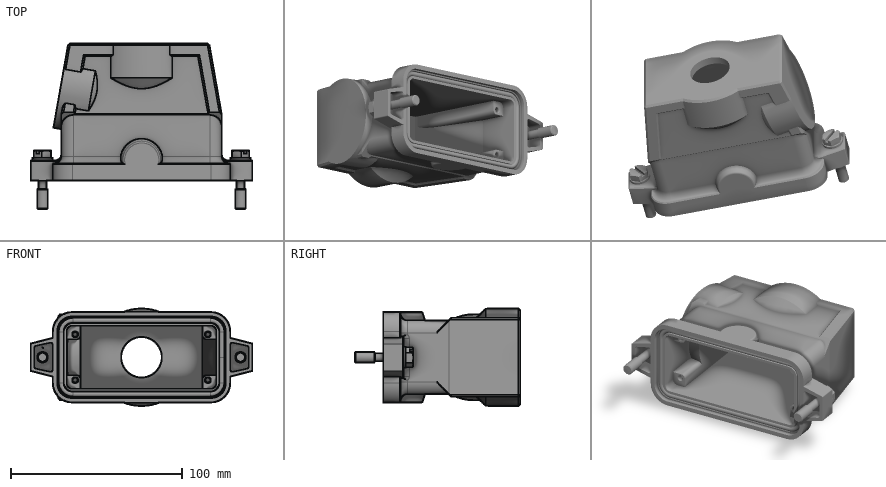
import cadquery as cq
import math


hood_depth = 80.0
face_tilt = 10.0
edge_chamfer = 1.2

flange_half_x = 51.8
flange_half_z = 26.4
flange_corner = 11.4
flange_thickness = 10.2
flange_edge_chamfer = 0.6
flange_fillet = 3.9

neck_half_x = 46.9
neck_half_z = 21.5
neck_corner = 7.1
neck_end = 38.3

rim_half_z = 23.2
panel_half_z = 22.1
panel_half_x = 32.9
panel_back = 72.5
flare_end_z = 14.8
pad_thickness = 3.2

back_boss_radius = 28.5
back_boss_length = 20.1
back_hole_radius = 11.8

side_boss_radius = 25.1
side_boss_length = 18.4
side_boss_y = 55.5
side_boss_inner_x = -35.6

lug_y = 12.2
lug_base_radius = 12.3
lug_top_radius = 10.7
lug_edge_fillet = 1.0

cavity_half_x = 43.6
cavity_half_z = 18.4
cavity_corner = 3.2
cavity_floor = 75.4
cavity_floor_half_x = 35.4

recess_wall = 2.6
recess_depth = 2.7
groove_floor = 3.9
groove_half_width = 1.5
seal_radius = 1.4
seal_half_x = 46.9
seal_half_z = 21.5
seal_corner = 6.7

post_inner_x = 35.6
post_inner_z = 10.5
post_corner = 2.3
post_front = 11.7
post_hole_x = 38.7
post_hole_z = 13.3
post_hole_radius = 1.4
post_hole_depth = 10.4
post_hole_chamfer = 0.4

ear_tip_x = 64.8
ear_tip_half_z = 8.0
ear_root_half_z = 12.5
ear_front = 0.0
ear_back = 11.9
ear_edge_chamfer = 0.5
ear_tip_fillet = 0.6
ear_fillet = 3.2
ear_fillet_half_z = 11.0
ear_floor = 3.1
pocket_root_x = flange_half_x
pocket_tip_x = 62.5
pocket_root_half_z = 8.8
pocket_tip_half_z = 6.5
pocket_corner = 1.3

screw_x = 57.8
shank_radius = 2.5
thread_radius = 3.1
thread_start = -4.7
screw_tip = -16.6
screw_chamfer = 0.5
washer_radius = 6.1
washer_thickness = 1.4
head_radius = 5.8
head_height = 4.3
head_chamfer = 0.5
crown_radius = 4.9
head_turn = 34.0
slot_width = 2.0
slot_depth = 2.0

tilt = math.tan(math.radians(face_tilt))


def section_at(y):
    """Workplane facing +X right, +Z up at the given depth."""
    return cq.Workplane("XZ", origin=(0, y, 0))


def rounded_block(half_x, half_z, corner, y_start, y_end):
    block = section_at(y_start).rect(2 * half_x, 2 * half_z).extrude(y_start - y_end)
    return block.edges("|Y").fillet(corner)


def slab(points, half_z):
    """Outline in the XY plane, extruded evenly about Z = 0."""
    return cq.Workplane("XY").polyline(points).close().extrude(half_z, both=True)


def both_sides(solid, plane):
    """The solid together with its mirror image in a plane through the origin."""
    return solid.union(solid.mirror(plane))


def make_flange_and_neck():
    flange = rounded_block(flange_half_x, flange_half_z, flange_corner, 0, flange_thickness)
    flange = flange.faces(">Y").edges().chamfer(flange_edge_chamfer)
    neck = rounded_block(neck_half_x, neck_half_z, neck_corner, 0, neck_end)
    margin = 0.1
    root = cq.selectors.BoxSelector(
        (-neck_half_x - margin, flange_thickness - margin, -neck_half_z - margin),
        (neck_half_x + margin, flange_thickness + margin, neck_half_z + margin),
        boundingbox=True,
    )
    return flange.union(neck).edges(root).fillet(flange_fillet)


def end_face_x(y):
    """Distance of the plain housing end face from the YZ plane."""
    return neck_half_x - max(0, y - neck_end) * tilt


def make_housing():
    flare_start = neck_end - neck_half_z + flare_end_z
    back_x = end_face_x(hood_depth)
    pad_y = side_boss_y
    outline = [
        (neck_half_x, 0),
        (neck_half_x, neck_end),
        (back_x, hood_depth),
        (-back_x - pad_thickness, hood_depth),
        (-end_face_x(pad_y) - pad_thickness, pad_y),
        (-end_face_x(pad_y), pad_y),
        (-neck_half_x, neck_end),
        (-neck_half_x, 0),
    ]
    block = slab(outline, rim_half_z)
    block = block.faces(">Y or >Z or <Z").edges().chamfer(edge_chamfer)

    flare_rise = rim_half_z - flare_end_z
    flare = (
        cq.Workplane("YZ")
        .polyline([
            (flare_start, -flare_end_z),
            (flare_start + flare_rise, -rim_half_z),
            (hood_depth, -rim_half_z),
            (hood_depth, rim_half_z),
            (flare_start + flare_rise, rim_half_z),
            (flare_start, flare_end_z),
        ])
        .close()
        .extrude(ear_tip_x, both=True)
    )
    block = block.intersect(flare)

    panel_front_x = panel_half_x + panel_back * tilt
    panel = (
        cq.Workplane("XY", origin=(0, 0, panel_half_z))
        .polyline([
            (-panel_half_x, panel_back),
            (panel_half_x, panel_back),
            (panel_front_x, 0),
            (-panel_front_x, 0),
        ])
        .close()
        .extrude(rim_half_z - panel_half_z, taper=-45)
    )
    return block.cut(both_sides(panel, "XY"))


def make_back_boss():
    """Cylinder along Y whose front end tapers at 45 degrees into the panels."""
    cone_start = hood_depth - back_boss_length
    return (
        cq.Workplane("XY")
        .polyline([
            (0, hood_depth),
            (back_boss_radius - edge_chamfer, hood_depth),
            (back_boss_radius, hood_depth - edge_chamfer),
            (back_boss_radius, cone_start),
            (0, cone_start - back_boss_radius),
        ])
        .close()
        .revolve(360, (0, 0), (0, 1))
    )


def make_side_boss():
    """Cylinder square to the -X end face, ending in a 45 degree cone."""
    cone_height = side_boss_radius - neck_half_z
    face_x = -end_face_x(side_boss_y) - pad_thickness
    angle = math.radians(face_tilt)
    plane = cq.Plane(
        origin=(face_x, side_boss_y, 0),
        xDir=(0, 0, 1),
        normal=(math.cos(angle), -math.sin(angle), 0),
    )
    boss = cq.Workplane(plane).circle(side_boss_radius).extrude(side_boss_length)
    boss = boss.faces(">X").workplane().circle(side_boss_radius).extrude(cone_height, taper=45)
    beyond_back = section_at(hood_depth - edge_chamfer).rect(2 * ear_tip_x, 2 * side_boss_radius)
    return boss.cut(beyond_back.extrude(-hood_depth))


def make_lugs():
    height = flange_half_z - neck_half_z
    draft = math.degrees(math.atan((lug_base_radius - lug_top_radius) / height))
    lug = (
        cq.Workplane("XY", origin=(0, lug_y, neck_half_z))
        .circle(lug_base_radius)
        .extrude(height, taper=draft)
        .faces(">Z").edges().fillet(lug_edge_fillet)
    )
    near_face = cq.Workplane("XY").box(2 * flange_half_x, flange_thickness, 2 * flange_half_z)
    lug = lug.cut(near_face)
    return both_sides(lug, "XY")


def make_posts():
    width = cavity_half_x - post_inner_x
    height = cavity_half_z - post_inner_z
    post = (
        section_at(post_front)
        .rect(width, height)
        .extrude(post_front - cavity_floor)
        .translate((post_inner_x + width / 2, 0, post_inner_z + height / 2))
        .edges("|Y and <X and <Z").fillet(post_corner)
    )
    hole = section_at(post_front).center(post_hole_x, post_hole_z)
    bore = hole.circle(post_hole_radius).extrude(-post_hole_depth)
    mouth = (
        hole.circle(post_hole_radius + post_hole_chamfer)
        .extrude(-post_hole_chamfer, taper=45)
    )
    post = post.cut(bore).cut(mouth)
    return both_sides(both_sides(post, "XY"), "YZ")


def make_cavity():
    """Hollow of the hood, leaving the corner posts and the blank side entry solid."""
    slope_start = cavity_floor - (cavity_half_x - cavity_floor_half_x) / tilt
    room = slab([
        (-cavity_half_x, 0),
        (cavity_half_x, 0),
        (cavity_half_x, slope_start),
        (cavity_floor_half_x, cavity_floor),
        (-cavity_floor_half_x, cavity_floor),
        (-cavity_half_x, slope_start),
    ], cavity_half_z)
    bounds = rounded_block(cavity_half_x, cavity_half_z, cavity_corner, 0, cavity_floor)
    plug_limit = cq.Workplane("XY").box(ear_tip_x, 2 * hood_depth, 2 * rim_half_z)
    plug_limit = plug_limit.translate((side_boss_inner_x - ear_tip_x / 2, 0, 0))
    plug = make_side_boss().intersect(plug_limit)
    return room.intersect(bounds).cut(plug).cut(make_posts())


def make_recess():
    recess = rounded_block(
        flange_half_x - recess_wall,
        flange_half_z - recess_wall,
        flange_corner - recess_wall,
        0,
        recess_depth,
    )
    groove_outside, groove_inside = [
        rounded_block(seal_half_x + offset, seal_half_z + offset, seal_corner + offset, 0, groove_floor)
        for offset in (groove_half_width, -groove_half_width)
    ]
    return recess.union(groove_outside.cut(groove_inside))


def make_seal():
    """Round bead lying around the floor of the recess."""
    bar_x = seal_half_x - seal_corner
    bar_z = seal_half_z - seal_corner
    bend = (
        cq.Workplane("XY", origin=(seal_half_x, groove_floor, bar_z))
        .circle(seal_radius)
        .revolve(90, (-seal_corner, 0, 0), (-seal_corner, -1, 0))
    )
    bends = both_sides(both_sides(bend, "XY"), "YZ")
    long_bar = (
        cq.Workplane("YZ", origin=(0, groove_floor, seal_half_z))
        .circle(seal_radius)
        .extrude(bar_x, both=True)
    )
    short_bar = (
        cq.Workplane("XY", origin=(seal_half_x, groove_floor, 0))
        .circle(seal_radius)
        .extrude(bar_z, both=True)
    )
    return bends.union(both_sides(long_bar, "XY")).union(both_sides(short_bar, "YZ"))


def ear_outline(root_x, root_half_z, tip_x, tip_half_z):
    return [
        (root_x, -root_half_z),
        (tip_x, -tip_half_z),
        (tip_x, tip_half_z),
        (root_x, root_half_z),
    ]


def ear_fillet_section():
    """Concave corner between the back of the ear and the neck."""
    return (
        cq.Workplane("XY", origin=(neck_half_x, ear_back, 0))
        .lineTo(ear_fillet, 0)
        .radiusArc((0, ear_fillet), ear_fillet)
        .close()
    )


def make_ear():
    outline = ear_outline(neck_half_x, ear_root_half_z, ear_tip_x, ear_tip_half_z)
    ear = section_at(ear_front).polyline(outline).close().extrude(ear_front - ear_back)
    ear = ear.faces(">X").edges("|Y").fillet(ear_tip_fillet)
    ear = ear.faces(">Y").edges("not(<X)").chamfer(ear_edge_chamfer)
    fillet = ear_fillet_section().extrude(ear_fillet_half_z, both=True)
    fillet_end = ear_fillet_section().revolve(90, (0, 0), (1, 0)).translate((0, 0, ear_fillet_half_z))
    return ear.union(fillet).union(both_sides(fillet_end, "XY"))


def make_ear_pocket():
    outline = ear_outline(pocket_root_x, pocket_root_half_z, pocket_tip_x, pocket_tip_half_z)
    depth = ear_back - ear_floor
    return section_at(0).polyline(outline).close().extrude(-depth).edges("|Y").fillet(pocket_corner)


def make_screw():
    head_start = ear_back + washer_thickness
    head_end = head_start + head_height
    shaft = (
        cq.Workplane("XY")
        .polyline([
            (0, screw_tip),
            (thread_radius - screw_chamfer, screw_tip),
            (thread_radius, screw_tip + screw_chamfer),
            (thread_radius, thread_start - screw_chamfer),
            (shank_radius, thread_start),
            (shank_radius, ear_back),
            (washer_radius, ear_back),
            (washer_radius, head_start),
            (0, head_start),
        ])
        .close()
        .revolve(360, (0, 0), (0, 1))
    )
    head = section_at(head_start).polygon(6, 2 * head_radius).extrude(-head_height)
    crown = (
        cq.Workplane("XY")
        .polyline([
            (0, head_start),
            (head_radius, head_start),
            (head_radius, head_end - head_chamfer),
            (crown_radius, head_end),
            (0, head_end),
        ])
        .close()
        .revolve(360, (0, 0), (0, 1))
    )
    slot = cq.Workplane("XY").box(slot_width, 2 * slot_depth, 3 * head_radius)
    slot = slot.translate((0, head_end, 0))
    head = head.intersect(crown).cut(slot)
    head = head.rotate((0, 0, 0), (0, 1, 0), head_turn)
    return shaft.union(head).translate((screw_x, 0, 0))


def make_back_hole():
    wall = hood_depth - cavity_floor
    return section_at(cavity_floor).circle(back_hole_radius).extrude(-wall)


result = (
    make_flange_and_neck()
    .union(make_lugs())
    .union(make_housing())
    .union(make_back_boss())
    .union(make_side_boss())
    .union(both_sides(make_ear(), "YZ"))
    .cut(make_cavity())
    .cut(make_back_hole())
    .cut(make_recess())
    .cut(both_sides(make_ear_pocket(), "YZ"))
    .union(make_seal())
    .union(both_sides(make_screw(), "YZ"))
)